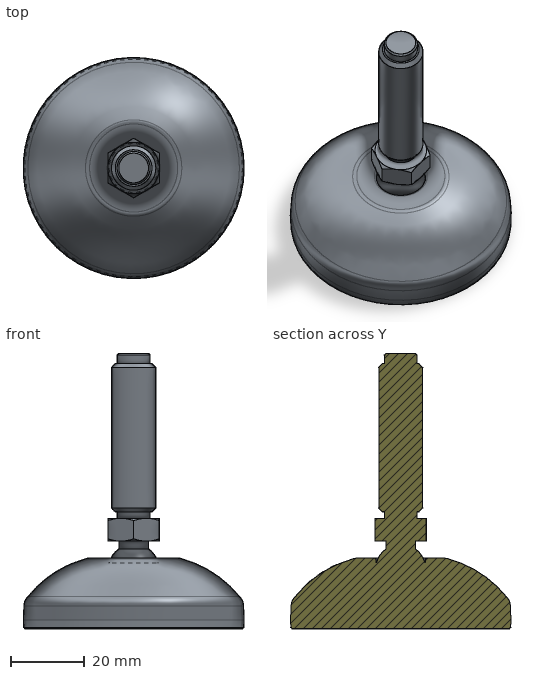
import cadquery as cq
import math

total_height = 74.7

foot_radius = 60.0 / 2
foot_edge_radius = 29.9
foot_edge_chamfer = 0.4
foot_widest_height = 2.4
rim_top_radius = 29.8
rim_top_height = 6.1
shoulder_radius = 28.7
shoulder_height = 8.75
shoulder_fillet = 3.5
dome_radius = 30.6
dome_top_radius = 13.1
dome_top_height = 19.0
foot_top_radius = 11.95
foot_top_height = 19.2
crown_fillet = 3.0

ball_radius = 6.9
neck_radius = 8.1 / 2
ball_neck_height = 21.7
ball_center_height = ball_neck_height - math.sqrt(ball_radius**2 - neck_radius**2)
socket_radius = 13.3 / 2
socket_rim_fillet = 0.5

hex_across_flats = 14.0
hex_bottom = 23.75
hex_top = 29.95
hex_corner_diameter = hex_across_flats / math.cos(math.radians(30))
hex_face_radius = hex_across_flats / 2
hex_chamfer_angle = 30.0

stud_radius = 12.0 / 2
stud_bottom = 31.7
stud_top = 71.9
stud_chamfer = 1.05
pin_radius = 9.0 / 2
pin_chamfer = 0.45


def cylinder(radius, bottom, top):
    """Upright cylinder on the part axis between two heights."""
    return cq.Workplane("XY").workplane(offset=bottom).circle(radius).extrude(top - bottom)


def make_foot():
    """Domed foot turned about the Z axis, with a round-edged socket around the ball."""
    profile = (
        cq.Workplane("XZ")
        .lineTo(foot_edge_radius - foot_edge_chamfer, 0)
        .lineTo(foot_edge_radius, foot_edge_chamfer)
        .lineTo(foot_radius, foot_widest_height)
        .lineTo(rim_top_radius, rim_top_height)
        .radiusArc((shoulder_radius, shoulder_height), -shoulder_fillet)
        .radiusArc((dome_top_radius, dome_top_height), -dome_radius)
        .radiusArc((foot_top_radius, foot_top_height), -crown_fillet)
        .lineTo(socket_radius + socket_rim_fillet, foot_top_height)
        .radiusArc((socket_radius, foot_top_height - socket_rim_fillet), -socket_rim_fillet)
        .lineTo(socket_radius, ball_center_height)
        .lineTo(0, ball_center_height)
        .close()
    )
    return profile.revolve(360, (0, 0, 0), (0, 1, 0))


def make_hexagon():
    """Hexagon with corners on the Y axis, both ends turned to a cone."""
    prism = (
        cq.Workplane("XY")
        .workplane(offset=hex_bottom)
        .transformed(rotate=(0, 0, 90))
        .polygon(6, hex_corner_diameter)
        .extrude(hex_top - hex_bottom)
    )
    corner_radius = hex_corner_diameter / 2
    cone_height = (corner_radius - hex_face_radius) * math.tan(math.radians(hex_chamfer_angle))
    turned_blank = (
        cylinder(corner_radius, hex_bottom, hex_top)
        .faces("<Z or >Z")
        .chamfer(cone_height, corner_radius - hex_face_radius)
    )
    return prism.intersect(turned_blank)


def make_stud():
    """Shank without thread detail, with a thinner pin showing at both ends."""
    pin = cylinder(pin_radius, hex_top, total_height).faces(">Z").chamfer(pin_chamfer)
    shank = cylinder(stud_radius, stud_bottom, stud_top).faces("<Z or >Z").chamfer(stud_chamfer)
    return pin.union(shank)


def make_ball():
    """Ball at the lower end of the stud and the neck that joins it to the hexagon."""
    ball = cq.Workplane("XY").sphere(ball_radius).translate((0, 0, ball_center_height))
    return ball.union(cylinder(neck_radius, ball_center_height, hex_bottom))


result = make_foot().union(make_ball()).union(make_hexagon()).union(make_stud())